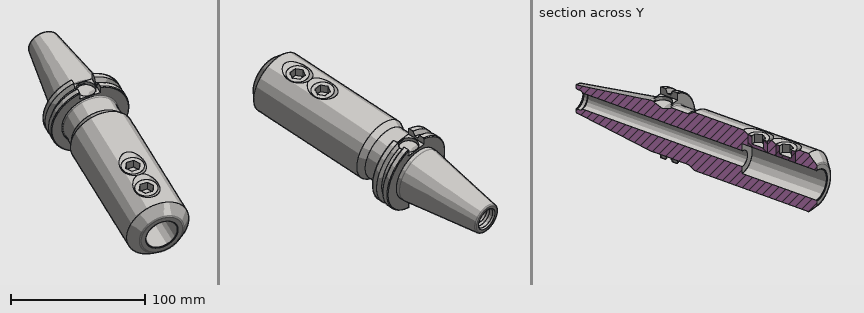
import cadquery as cq
import math

TOTAL_LENGTH = 220.7
TAPER_END = 68.0
FLANGE_START = 71.3
FLANGE_END = 87.2
NECK_END = 102.8
BODY_START = 108.3

NECK_DIAMETER = 44.4
FLANGE_DIAMETER = 63.5
BODY_DIAMETER = 50.8
TAPER_RATIO = 7 / 24

SMALL_END_FILLET = 0.9
FLANGE_CHAMFER = 0.7
FLANGE_FILLET = 0.9
NOSE_START = 213.0
NOSE_FILLET = 1.8

GROOVE_DIAMETER = 56.0
GROOVE_FLOOR_WIDTH = 2.9
GROOVE_MOUTH_WIDTH = 6.5

SLOT_WIDTH = 16.8
TOP_SLOT_FLOOR = 24.5
BOTTOM_SLOT_FLOOR = 22.0

DIMPLE_DIAMETER = 15.2
DIMPLE_WALL = 3.0
DIMPLE_TIP_ANGLE = 140.0

THROUGH_DIAMETER = 13.5
ENTRY_DIAMETER = 16.5
ENTRY_MOUTH_DIAMETER = 18.0
ENTRY_MOUTH_DEPTH = 1.5
ENTRY_DEPTH = 4.6
ENTRY_CONE_ANGLE = 90.0
SHANK_DIAMETER = 25.4
SHANK_MOUTH_DIAMETER = 26.5
SHANK_DEPTH = 68.5

SCREW_DIAMETER = 17.5
SCREW_SPACING = 25.4
FIRST_SCREW_X = 166.4
SCREW_COUNT = 2
SCREW_TOP = 23.0
SINK_ANGLE = 120.0
HEX_ACROSS_FLATS = 10.2
HEX_DEPTH = 7.0

flange_middle = (FLANGE_START + FLANGE_END) / 2
screw_places = [FIRST_SCREW_X + i * SCREW_SPACING for i in range(SCREW_COUNT)]


def revolve_about_x(points):
    """Revolve a closed outline of (x, radius) points about the X axis."""
    return cq.Workplane("XY").polyline(points).close().revolve(360, (0, 0, 0), (1, 0, 0))


def cone_up(small_radius, large_radius, height, x, z):
    """Upright cone with its small end at height z."""
    return cq.Workplane(cq.Solid.makeCone(small_radius, large_radius, height, cq.Vector(x, 0, z)))


def make_outer_form():
    neck_radius = NECK_DIAMETER / 2
    flange_radius = FLANGE_DIAMETER / 2
    body_radius = BODY_DIAMETER / 2
    small_radius = neck_radius - TAPER_END * TAPER_RATIO / 2
    nose_fillet_start = TOTAL_LENGTH - NOSE_FILLET * (1 - math.sqrt(0.5))
    nose_radius = body_radius - (nose_fillet_start - NOSE_START)
    fillet_middle = FLANGE_FILLET * (1 - math.sqrt(0.5))
    return (
        cq.Workplane("XY")
        .moveTo(0, 0)
        .lineTo(0, small_radius - SMALL_END_FILLET)
        .tangentArcPoint(
            (SMALL_END_FILLET, small_radius + SMALL_END_FILLET * TAPER_RATIO / 2),
            relative=False,
        )
        .lineTo(TAPER_END, neck_radius)
        .lineTo(FLANGE_START, neck_radius)
        .lineTo(FLANGE_START, flange_radius - FLANGE_CHAMFER)
        .lineTo(FLANGE_START + FLANGE_CHAMFER, flange_radius)
        .lineTo(FLANGE_END - FLANGE_CHAMFER, flange_radius)
        .lineTo(FLANGE_END, flange_radius - FLANGE_CHAMFER)
        .lineTo(FLANGE_END, neck_radius + FLANGE_FILLET)
        .threePointArc(
            (FLANGE_END + fillet_middle, neck_radius + fillet_middle),
            (FLANGE_END + FLANGE_FILLET, neck_radius),
        )
        .lineTo(NECK_END, neck_radius)
        .lineTo(BODY_START, body_radius)
        .lineTo(NOSE_START, body_radius)
        .lineTo(nose_fillet_start, nose_radius)
        .tangentArcPoint((TOTAL_LENGTH, nose_radius - NOSE_FILLET * math.sqrt(0.5)), relative=False)
        .lineTo(TOTAL_LENGTH, 0)
        .close()
        .revolve(360, (0, 0, 0), (1, 0, 0))
    )


def make_groove():
    floor_radius = GROOVE_DIAMETER / 2
    rim_radius = FLANGE_DIAMETER / 2
    return revolve_about_x([
        (flange_middle - GROOVE_FLOOR_WIDTH / 2, floor_radius),
        (flange_middle - GROOVE_MOUTH_WIDTH / 2, rim_radius),
        (flange_middle + GROOVE_MOUTH_WIDTH / 2, rim_radius),
        (flange_middle + GROOVE_FLOOR_WIDTH / 2, floor_radius),
    ])


def make_slot(floor_height, side):
    """Slot through the flange, above (side = 1) or below (side = -1) the axis."""
    depth = FLANGE_DIAMETER / 2 - floor_height
    return cq.Workplane("XY").box(FLANGE_END - FLANGE_START, SLOT_WIDTH, depth).translate(
        (flange_middle, 0, side * (floor_height + depth / 2))
    )


def make_dimple():
    radius = DIMPLE_DIAMETER / 2
    tip_height = radius / math.tan(math.radians(DIMPLE_TIP_ANGLE / 2))
    cone_top = TOP_SLOT_FLOOR - DIMPLE_WALL
    tip = cone_up(0, radius, tip_height, flange_middle, cone_top - tip_height)
    wall = cq.Workplane("XY", origin=(flange_middle, 0, cone_top)).circle(radius).extrude(DIMPLE_WALL)
    return tip.union(wall)


def make_bore():
    through_radius = THROUGH_DIAMETER / 2
    entry_radius = ENTRY_DIAMETER / 2
    entry_cone = (entry_radius - through_radius) / math.tan(math.radians(ENTRY_CONE_ANGLE / 2))
    shank_radius = SHANK_DIAMETER / 2
    shank_chamfer = (SHANK_MOUTH_DIAMETER - SHANK_DIAMETER) / 2
    shank_start = TOTAL_LENGTH - SHANK_DEPTH
    return revolve_about_x([
        (0, 0),
        (0, ENTRY_MOUTH_DIAMETER / 2),
        (ENTRY_MOUTH_DEPTH, entry_radius),
        (ENTRY_DEPTH, entry_radius),
        (ENTRY_DEPTH + entry_cone, through_radius),
        (shank_start, through_radius),
        (shank_start, shank_radius),
        (TOTAL_LENGTH - shank_chamfer, shank_radius),
        (TOTAL_LENGTH, shank_radius + shank_chamfer),
        (TOTAL_LENGTH, 0),
    ])


def make_screw_hole(x):
    """Radial hole into the bore with a wide countersink at the body surface."""
    radius = SCREW_DIAMETER / 2
    sink_height = BODY_DIAMETER / 2 - SCREW_TOP
    sink_radius = radius + sink_height * math.tan(math.radians(SINK_ANGLE / 2))
    hole = cq.Workplane("XY", origin=(x, 0, 0)).circle(radius).extrude(SCREW_TOP)
    return hole.union(cone_up(radius, sink_radius, sink_height, x, SCREW_TOP))


def make_holder():
    holder = make_outer_form().cut(make_groove())
    holder = holder.cut(make_slot(TOP_SLOT_FLOOR, 1)).cut(make_slot(BOTTOM_SLOT_FLOOR, -1))
    holder = holder.cut(make_dimple()).cut(make_bore())
    for x in screw_places:
        holder = holder.cut(make_screw_hole(x))
    return holder


def make_screw(x):
    """Headless screw with a hexagon socket, ending flush with the bore."""
    bottom = SHANK_DIAMETER / 2
    across_corners = HEX_ACROSS_FLATS / math.cos(math.pi / 6)
    shaft = cq.Workplane("XY", origin=(x, 0, bottom)).circle(SCREW_DIAMETER / 2).extrude(SCREW_TOP - bottom)
    socket = (
        cq.Workplane("XY", origin=(x, 0, SCREW_TOP - HEX_DEPTH))
        .transformed(rotate=(0, 0, 90))
        .polygon(6, across_corners)
        .extrude(HEX_DEPTH)
    )
    return shaft.cut(socket)


holder = make_holder()
screws = [make_screw(x).val() for x in screw_places]

result = cq.Compound.makeCompound([holder.val(), *screws])